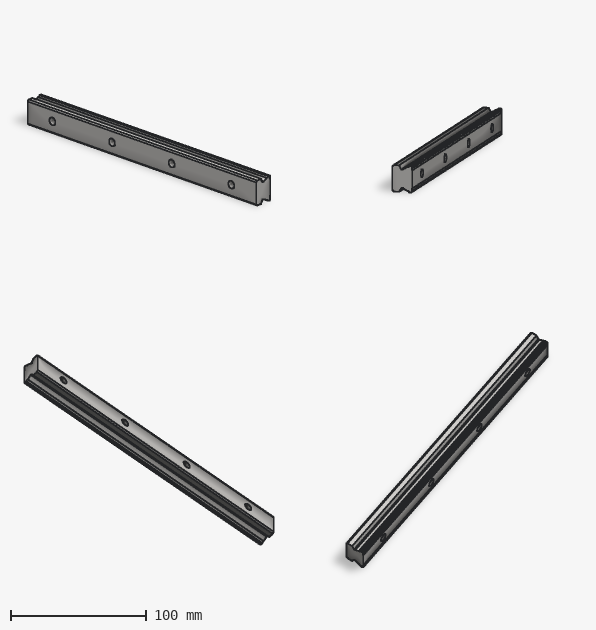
import cadquery as cq
import math


length = 230.0
height = 15.5
width = 20.0
half_width = width / 2

hole_diameter = 6.0
hole_pitch = 60.0
end_distance = 25.0
hole_count = 4

base_chamfer = 1.2
top_chamfer = 0.9

waist_start = 5.3
waist_depth = 3.07
floor_width = 0.95
lower_wall_angle = math.radians(60)
upper_slope_angle = math.radians(30)

groove_width = 1.8
groove_sag = 0.38
slope_groove_y = 12.2
top_groove_z = 7.7


def groove_points(center, angle):
    """Start, deepest point and end of a groove whose chord runs at the given (Y, Z) angle.

    Material lies to the right of the direction of travel.
    """
    along_y = math.cos(angle)
    along_z = math.sin(angle)
    half_chord = groove_width / 2
    start = (center[0] - half_chord * along_y, center[1] - half_chord * along_z)
    deepest = (center[0] + groove_sag * along_z, center[1] - groove_sag * along_y)
    end = (center[0] + half_chord * along_y, center[1] + half_chord * along_z)
    return start, deepest, end


def half_section():
    """Closed (Y, Z) outline of the rail section on the Z >= 0 side."""
    floor_z = half_width - waist_depth
    floor_start = waist_start + waist_depth / math.tan(lower_wall_angle)
    floor_end = floor_start + floor_width
    slope = math.tan(upper_slope_angle)
    slope_end = floor_end + waist_depth / slope

    slope_groove_z = floor_z + (slope_groove_y - floor_end) * slope
    slope_groove = groove_points((slope_groove_y, slope_groove_z), upper_slope_angle)
    top_groove = groove_points((height, top_groove_z), -math.pi / 2)

    return (
        cq.Workplane("YZ")
        .moveTo(0, 0)
        .lineTo(0, half_width - base_chamfer)
        .lineTo(base_chamfer, half_width)
        .lineTo(waist_start, half_width)
        .lineTo(floor_start, floor_z)
        .lineTo(floor_end, floor_z)
        .lineTo(*slope_groove[0])
        .threePointArc(slope_groove[1], slope_groove[2])
        .lineTo(slope_end, half_width)
        .lineTo(height - top_chamfer, half_width)
        .lineTo(height, half_width - top_chamfer)
        .lineTo(*top_groove[0])
        .threePointArc(top_groove[1], top_groove[2])
        .lineTo(height, 0)
        .close()
    )


def rail_body():
    """Half section extruded along X and mirrored about the Z = 0 plane."""
    half = half_section().extrude(length)
    return half.union(half.mirror("XY")).clean()


def mounting_holes():
    """Cylinders along Y, evenly spaced along the rail."""
    centers = [(end_distance + i * hole_pitch, 0) for i in range(hole_count)]
    return (
        cq.Workplane("XZ")
        .pushPoints(centers)
        .circle(hole_diameter / 2)
        .extrude(-height)
    )


result = rail_body().cut(mounting_holes())